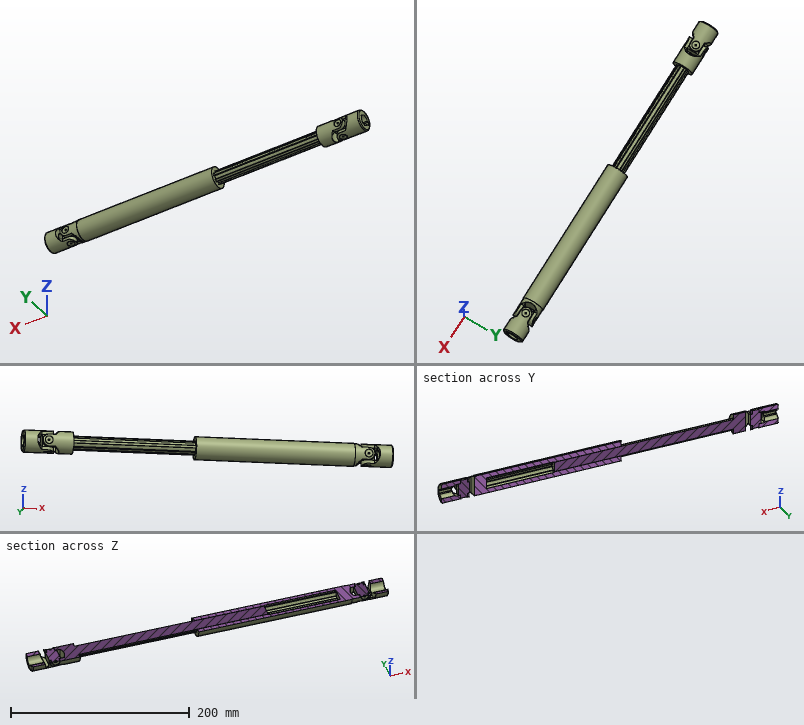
import cadquery as cq


total_length = 420.0
yoke_dia = 25.0
sleeve_dia = 26.0
joint_offset = 28.0
sleeve_start = 195.7
sleeve_end = 376.5
engaged_length = 84.0
spline_bore_depth = 168.0
end_chamfer = 1.3

block_size = 14.0
swing_dia = 25.5
shoulder_clearance = 0.5
pin_dia = 9.0
pin_span = 23.5
centre_hole_dia = 1.8
centre_hole_depth = 1.5

bore_dia = 12.5
keyway_width = 4.5
keyway_reach = 8.5

spline_teeth = 6
spline_root_dia = 13.0
spline_tip_dia = 16.0
spline_tooth_width = 3.0

fork_gap = block_size
arm_width = block_size
arm_tip_radius = arm_width / 2
shoulder_start = block_size / 2 + shoulder_clearance
inner_yoke_length = joint_offset
left_joint_x = joint_offset
right_joint_x = total_length - joint_offset
shaft_end = sleeve_start + engaged_length
through = 2 * yoke_dia


def rod(dia, start, end):
    """Round bar along X."""
    return cq.Workplane("YZ").workplane(offset=start).circle(dia / 2).extrude(end - start)


def centred_bar(dia, length, plane):
    """Round bar along the normal of the plane, centred on the origin."""
    return cq.Workplane(plane).circle(dia / 2).extrude(length / 2, both=True)


def quarter_turn(body):
    """Turn by 90 degrees about the shaft axis."""
    return body.rotate((0, 0, 0), (1, 0, 0), 90)


def reverse(body):
    """Point the body the other way along X."""
    return body.mirror("YZ")


def fork_profile(body_length):
    """Block with the outline of a fork that points to +X, extruded along Z.

    A round-tipped tongue widens at 45 degrees into a part wider than the round body.
    """
    half_arm = arm_width / 2
    half_wide = 0.6 * yoke_dia
    shoulder_end = shoulder_start + half_wide - half_arm
    return (
        cq.Workplane("XY")
        .moveTo(-body_length, half_wide)
        .lineTo(-shoulder_end, half_wide)
        .lineTo(-shoulder_start, half_arm)
        .lineTo(0, half_arm)
        .threePointArc((arm_tip_radius, 0), (0, -half_arm))
        .lineTo(-shoulder_start, -half_arm)
        .lineTo(-shoulder_end, -half_wide)
        .lineTo(-body_length, -half_wide)
        .close()
        .extrude(through / 2, both=True)
    )


def fork(body_length):
    """Fork that points to +X, with its arms above and below a joint centre at the origin."""
    body = rod(yoke_dia, -body_length, arm_tip_radius).intersect(fork_profile(body_length))
    slab = cq.Workplane("XY").box(through, through, fork_gap)
    gap = centred_bar(swing_dia, through, "XZ").intersect(slab)
    pin_holes = centred_bar(pin_dia, through, "XY")
    return body.cut(gap).cut(pin_holes)


def keyed_bore(start, end):
    """Round bore along X with a keyway on its -Y side."""
    keyway = (
        cq.Workplane("XY")
        .box(end - start, keyway_reach, keyway_width, centered=(False, False, True))
        .translate((start, -keyway_reach, 0))
    )
    return rod(bore_dia, start, end).union(keyway)


def make_outer_yoke():
    """Outer yoke that points to +X, with a keyed bore that opens into the fork gap."""
    yoke = fork(joint_offset).faces("<X").edges().chamfer(end_chamfer)
    return yoke.cut(keyed_bore(-joint_offset, 0))


def make_cross():
    """Cube with four pins along Y and Z, each with a centre hole in its end face."""
    cross = cq.Workplane("XY").box(block_size, block_size, block_size)
    for plane in ("XZ", "XY"):
        cross = cross.union(centred_bar(pin_dia, pin_span, plane))
    for pin_end in ("<Y", ">Y", "<Z", ">Z"):
        end_face = cross.faces(pin_end).workplane(centerOption="CenterOfMass")
        cross = end_face.hole(centre_hole_dia, centre_hole_depth)
    return cross


def spline_bar(start, end):
    """Bar along X with evenly spaced straight-sided teeth, one of them on the +Y side."""
    tooth = (
        cq.Workplane("XY")
        .box(end - start, spline_tip_dia, spline_tooth_width, centered=(False, False, True))
        .translate((start, 0, 0))
    )
    bar = rod(spline_root_dia, start, end)
    for i in range(spline_teeth):
        bar = bar.union(tooth.rotate((0, 0, 0), (1, 0, 0), i * 360 / spline_teeth))
    return bar.intersect(rod(spline_tip_dia, start, end))


def make_splined_shaft():
    """Splined shaft with the inner fork of the left joint at its end."""
    yoke = reverse(quarter_turn(fork(inner_yoke_length))).translate((left_joint_x, 0, 0))
    return yoke.union(spline_bar(left_joint_x + inner_yoke_length, shaft_end))


def make_sleeve():
    """Sleeve with a splined bore and the inner fork of the right joint at its end."""
    tube = rod(sleeve_dia, sleeve_start, sleeve_end)
    yoke = quarter_turn(fork(right_joint_x - sleeve_start)).translate((right_joint_x, 0, 0))
    spline_bore = spline_bar(sleeve_start, sleeve_start + spline_bore_depth)
    return tube.union(yoke).cut(spline_bore)


left_yoke = make_outer_yoke().translate((left_joint_x, 0, 0))
right_yoke = reverse(make_outer_yoke()).translate((right_joint_x, 0, 0))
splined_shaft = make_splined_shaft()
sleeve = make_sleeve()
crosses = [make_cross().translate((x, 0, 0)) for x in (left_joint_x, right_joint_x)]

result = cq.Compound.makeCompound(
    [
        left_yoke.val(),
        right_yoke.val(),
        splined_shaft.val(),
        sleeve.val(),
        *[cross.val() for cross in crosses],
    ]
)